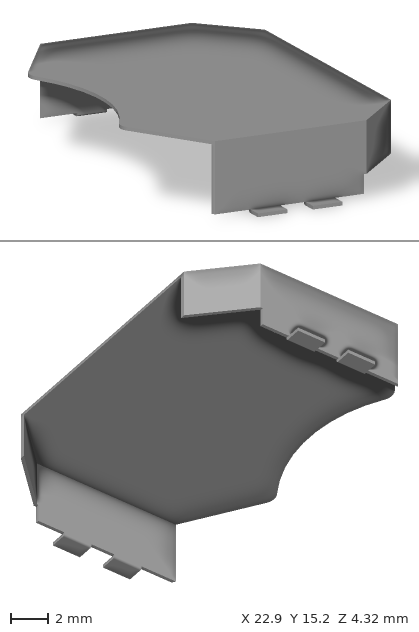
import cadquery as cq
import math

overall_width = 22.85
overall_depth = 15.25
overall_height = 4.32
sheet = 0.2

cover_width = 21.12
back_chamfer = 2.95
chamfer_angle = 45.0
side_depth = 12.07
front_slope = 0.66
arc_radius = 9.6
arc_depth = 13.7
tip_radius = 0.9

flange_height = 3.02
wall_back_setback = 3.1
foot_width = 1.78
foot_pitch = 3.31
feet_center_depth = 7.38
bend_radius = 0.11

half_width = cover_width / 2
half_length = overall_width / 2
back_y = overall_depth / 2
side_front_y = back_y - side_depth
crown_y = back_y - arc_depth
arc_center_y = crown_y - arc_radius
chamfer_x = half_width - back_chamfer
chamfer_y = back_y - back_chamfer
wall_back_y = back_y - wall_back_setback
inner_x = half_width - sheet
wall_bottom = sheet


def front_tip():
    """Sharp corner on the +X side where the slanted edge meets the cutout arc."""
    offset = side_front_y - front_slope * half_width - arc_center_y
    a = 1 + front_slope**2
    b = 2 * front_slope * offset
    c = offset**2 - arc_radius**2
    x = (-b + math.sqrt(b**2 - 4 * a * c)) / (2 * a)
    return x, arc_center_y + front_slope * x + offset


tip_x, tip_y = front_tip()


def cover_plate(thickness):
    """Cover outline extruded downward from the top face."""
    plate = (
        cq.Workplane("XY", origin=(0, 0, overall_height))
        .moveTo(-chamfer_x, back_y)
        .lineTo(chamfer_x, back_y)
        .lineTo(half_width, chamfer_y)
        .lineTo(half_width, side_front_y)
        .lineTo(tip_x, tip_y)
        .threePointArc((0, crown_y), (-tip_x, tip_y))
        .lineTo(-half_width, side_front_y)
        .lineTo(-half_width, chamfer_y)
        .close()
        .extrude(-thickness)
    )
    return plate.edges("|Z and <Y").fillet(tip_radius)


def side_wall():
    """Full-height wall on the +X side, trimmed to the cover outline at its front end."""
    front_y = side_front_y - front_slope * sheet
    return (
        cq.Workplane("XY", origin=(0, 0, wall_bottom))
        .polyline([
            (half_width, wall_back_y),
            (half_width, side_front_y),
            (inner_x, front_y),
            (inner_x, wall_back_y),
        ])
        .close()
        .extrude(overall_height - wall_bottom)
    )


def corner_flange():
    """Shorter wall that continues the +X side wall around the back chamfer."""
    end_run = sheet / math.sin(math.radians(chamfer_angle))
    inner_corner_y = chamfer_y - sheet * math.tan(math.radians(chamfer_angle / 2))
    return (
        cq.Workplane("XY", origin=(0, 0, overall_height))
        .polyline([
            (chamfer_x - end_run, back_y),
            (chamfer_x, back_y),
            (half_width, chamfer_y),
            (half_width, wall_back_y),
            (inner_x, wall_back_y),
            (inner_x, inner_corner_y),
        ])
        .close()
        .extrude(-flange_height)
    )


def foot(center_y):
    """Solder foot turned outward below the +X side wall."""
    return (
        cq.Workplane("XY")
        .box(half_length - inner_x, foot_width, sheet, centered=(False, True, False))
        .edges("<X and <Z")
        .fillet(bend_radius)
        .translate((inner_x, center_y, 0))
    )


right_side = side_wall().union(corner_flange())
for direction in (-1, 1):
    foot_y = back_y - feet_center_depth + direction * foot_pitch / 2
    right_side = right_side.union(foot(foot_y))

result = cover_plate(sheet).union(right_side).union(right_side.mirror("YZ"))